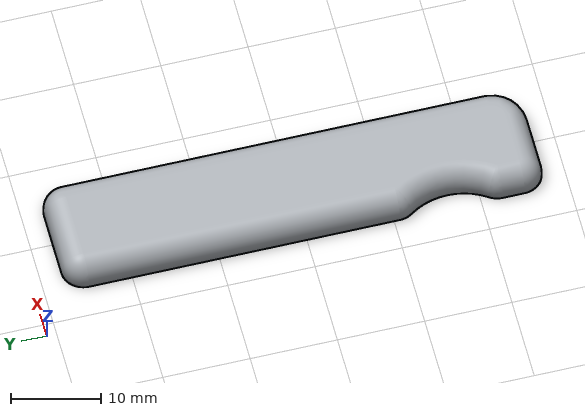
import cadquery as cq

width = 12.8
length = 55.0
height = 3.0

edge_radius = 2.55
large_corner_radius = 4.0

notch_center_y = -16.55
notch_half_length = 5.9
notch_depth = 1.85

top_x = width / 2 - edge_radius
top_y = length / 2 - edge_radius
top_corner_radius = large_corner_radius - edge_radius


def top_face_outline():
    """Outline of the flat top face, with the notch arc and one rounded corner."""
    diagonal_inset = top_corner_radius * (1 - 0.5 ** 0.5)
    return (
        cq.Workplane("XY")
        .moveTo(-top_x, top_y)
        .lineTo(-top_x, notch_center_y + notch_half_length)
        .threePointArc(
            (-top_x + notch_depth, notch_center_y),
            (-top_x, notch_center_y - notch_half_length),
        )
        .lineTo(-top_x, -top_y)
        .lineTo(top_x - top_corner_radius, -top_y)
        .threePointArc(
            (top_x - diagonal_inset, -top_y + diagonal_inset),
            (top_x, -top_y + top_corner_radius),
        )
        .lineTo(top_x, top_y)
        .close()
    )


body = top_face_outline().offset2D(edge_radius, "arc").extrude(height)

result = body.faces(">Z").edges().fillet(edge_radius)